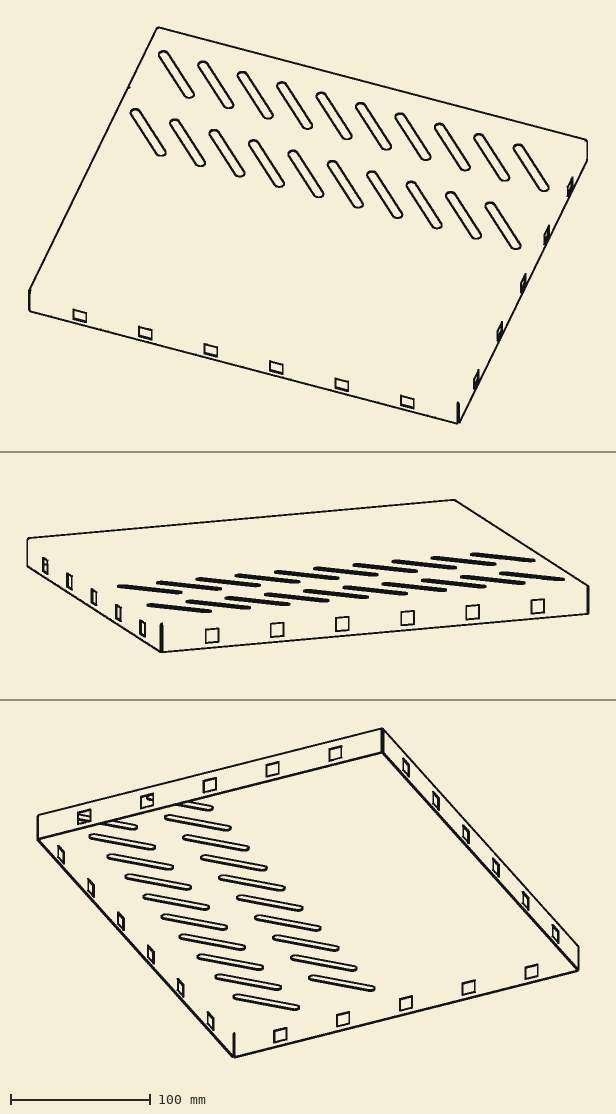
import cadquery as cq

length = 328.0
width = 275.0
height = 21.0
thickness = 1.0
outer_bend_radius = 2.0
inner_bend_radius = outer_bend_radius - thickness
corner_notch = 1.3

hole_side = 10.0
hole_pitch = 50.0
hole_centre_height = 9.0
holes_per_long_wall = 6
holes_per_short_wall = 5

slot_length = 50.0
slot_width = 7.0
slot_angle = -45
slots_per_row = 10
slot_row_count = 2
slot_row_pitch = 60.0
slot_pitch = slot_row_pitch / 2
first_row_inset = 40.0
slot_cut_depth = 2 * thickness


def rounded_block(size_x, size_y, size_z, radius):
    """Block on Z = 0 with its top edges rounded."""
    block = cq.Workplane("XY").box(size_x, size_y, size_z, centered=(True, True, False))
    return block.edges(">Z").fillet(radius)


def tray_shell():
    """Bent sheet: an outer block less the cavity under the top sheet."""
    outer = rounded_block(length, width, height, outer_bend_radius)
    cavity = rounded_block(
        length - 2 * thickness,
        width - 2 * thickness,
        height - thickness,
        inner_bend_radius,
    )
    return outer.cut(cavity)


def corner_notches():
    """Square columns that open the gap between neighbouring walls at each corner."""
    return (
        cq.Workplane("XY")
        .rect(length, width, forConstruction=True)
        .vertices()
        .rect(2 * corner_notch, 2 * corner_notch)
        .extrude(height)
    )


def long_wall_holes():
    """Square bars along Y that pierce both long walls."""
    return (
        cq.Workplane("XZ", origin=(0, 0, hole_centre_height))
        .rarray(hole_pitch, 3.3, holes_per_long_wall, 1)
        .rect(hole_side, hole_side)
        .extrude(width, both=True)
    )


def short_wall_holes():
    """Square bars along X that pierce both short walls."""
    return (
        cq.Workplane("YZ", origin=(0, 0, hole_centre_height))
        .rarray(hole_pitch, 3.3, holes_per_short_wall, 1)
        .rect(hole_side, hole_side)
        .extrude(length, both=True)
    )


def top_slots():
    """Two rows of diagonal slots through the top sheet, near the +Y wall."""
    first_row_y = width / 2 - first_row_inset
    rows_centre_y = first_row_y - (slot_row_count - 1) * slot_row_pitch / 2
    return (
        cq.Workplane("XY", origin=(0, rows_centre_y, height))
        .rarray(slot_pitch, slot_row_pitch, slots_per_row, slot_row_count)
        .slot2D(slot_length, slot_width, slot_angle)
        .extrude(-slot_cut_depth)
    )


result = (
    tray_shell()
    .cut(corner_notches())
    .cut(long_wall_holes())
    .cut(short_wall_holes())
    .cut(top_slots())
)